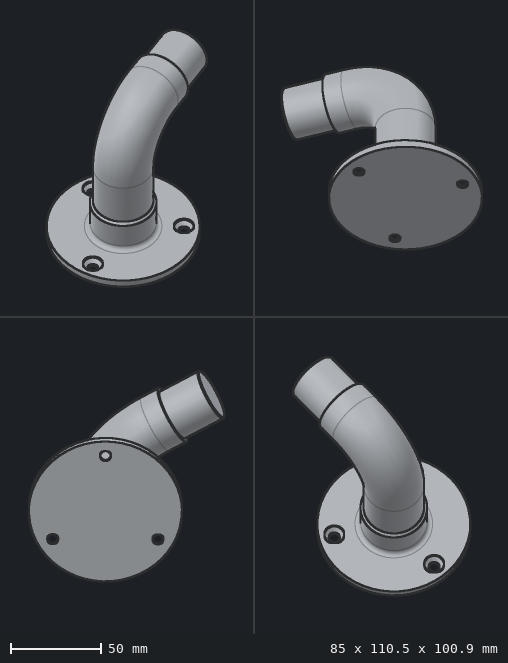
import cadquery as cq

flange_diameter = 85.0
flange_thickness = 5.0

screw_count = 3
screw_circle_radius = 33.7
first_screw_angle = -90
screw_diameter = 6.0
head_diameter = 11
head_rim_depth = 1.0

sleeve_diameter = 37.0
sleeve_top = 25.4
root_fillet = 3.0

pipe_diameter = 33.7
bend_radius = 32
overall_height = 100.9
pipe_end = 43.0

spigot_diameter = 29.7
spigot_edge_chamfer = 0.5
overall_length = 110.5

flange_radius = flange_diameter / 2
sleeve_radius = sleeve_diameter / 2
pipe_radius = pipe_diameter / 2
sleeve_shoulder = sleeve_top - (sleeve_radius - pipe_radius)
pipe_axis_height = overall_height - pipe_radius
bend_start = pipe_axis_height - bend_radius
spigot_end = overall_length - flange_radius


def make_base():
    """Turned flange and sleeve, with a root fillet and a sloped sleeve top."""
    return (
        cq.Workplane("XZ")
        .lineTo(flange_radius, 0)
        .lineTo(flange_radius, flange_thickness)
        .lineTo(sleeve_radius + root_fillet, flange_thickness)
        .radiusArc((sleeve_radius, flange_thickness + root_fillet), root_fillet)
        .lineTo(sleeve_radius, sleeve_shoulder)
        .lineTo(pipe_radius, sleeve_top)
        .lineTo(0, sleeve_top)
        .close()
        .revolve(360, (0, 0), (0, 1))
    )


def make_pipe():
    """Straight riser, quarter-turn bend and short horizontal end."""
    path = (
        cq.Workplane("YZ")
        .moveTo(0, sleeve_top)
        .lineTo(0, bend_start)
        .radiusArc((bend_radius, pipe_axis_height), bend_radius)
        .lineTo(pipe_end, pipe_axis_height)
    )
    return cq.Workplane("XY", origin=(0, 0, sleeve_top)).circle(pipe_radius).sweep(path)


def make_spigot():
    """Reduced end of the pipe with a chamfered rim."""
    return (
        cq.Workplane("XZ", origin=(0, pipe_end, pipe_axis_height))
        .circle(spigot_diameter / 2)
        .extrude(pipe_end - spigot_end)
        .faces(">Y")
        .chamfer(spigot_edge_chamfer)
    )


def make_screw_cutters():
    """Through hole, conical seat and short straight rim for every screw."""
    hole_radius = screw_diameter / 2
    head_radius = head_diameter / 2
    rim_bottom = flange_thickness - head_rim_depth
    seat_bottom = rim_bottom - (head_radius - hole_radius)
    cutter = (
        cq.Workplane("XZ")
        .lineTo(hole_radius, 0)
        .lineTo(hole_radius, seat_bottom)
        .lineTo(head_radius, rim_bottom)
        .lineTo(head_radius, flange_thickness)
        .lineTo(0, flange_thickness)
        .close()
        .revolve(360, (0, 0), (0, 1))
        .val()
    )
    return (
        cq.Workplane("XY")
        .polarArray(screw_circle_radius, first_screw_angle, 360, screw_count)
        .eachpoint(lambda place: cutter.moved(place))
    )


result = make_base().union(make_pipe()).union(make_spigot()).cut(make_screw_cutters())